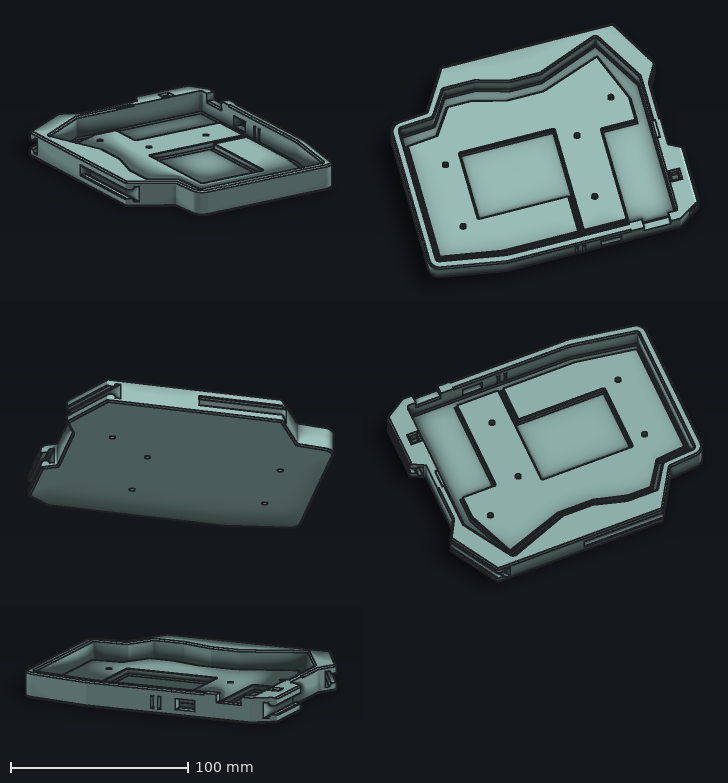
import cadquery as cq
import math

LENGTH = 157.2
WIDTH = 123.4
HEIGHT = 15.0
FLOOR = 1.5
PLATEAU_TOP = 5.5

EDGE = 1.0
RIM_MARGIN = 0.002
CORNER = 1.0
PLATEAU_BREAK = 0.3
CAVITY_CORNER = 1.5
CAVITY_BEND = 25.2
RIGHT_CORNER = 6.6
CLEARANCE = 1.5

PAD_BOTTOM = 82.7
PAD_TOP = 115.2
PAD_INNER_Y = 78.5
NOTCH_X = 8.2
PLAIN_Y = 62.2
PAD_BEVEL_WIDTH = 2.5
PAD_BEVEL_DROP = 1.1
PAD_BEVEL = [(0, PAD_BEVEL_DROP), (1.1, 0.3), (PAD_BEVEL_WIDTH, 0)]

LEDGE_START = 18.7
LEDGE_END = 34.1
LEDGE_Z = 10.2
TAB_END = 41.8

LEFT_TIP = (2.0, 29.2)
FRONT_TIP = (18.9, 0)
OUTER = [
    (0, PAD_TOP), (12.9, WIDTH), (114.6, WIDTH), (LENGTH, 116.2), (LENGTH, 25.8), (134.7, 23.9),
    (120.1, 0), FRONT_TIP, LEFT_TIP, (NOTCH_X, 40.1), (NOTCH_X, PAD_INNER_Y), (0, PAD_BOTTOM),
]

CAVITY_LEFT = 13.0
CAVITY_TOP = 118.2
BEND_X = 113.2
CAVITY = [
    (CAVITY_LEFT, CAVITY_TOP), (BEND_X, CAVITY_TOP), (152.0, 111.8), (152.0, 30.0), (131.7, 28.6),
    (122.0, 13.5), (103.6, 13.5), (84.5, 18.9), (66.3, 18.9), (30.7, 5.2), (CAVITY_LEFT, 34.9),
]

POCKET_LEFT = 67.7
POCKET_RIGHT = 121.5
POCKET_BOTTOM = 50.3
POCKET_TOP = 89.5
CHANNEL_RIGHT = 68.7
PLATEAU_Y = 113.6
PLATEAU = [
    (40.4, PLATEAU_Y), (POCKET_LEFT, PLATEAU_Y), (POCKET_LEFT, POCKET_BOTTOM),
    (POCKET_RIGHT, POCKET_BOTTOM), (POCKET_RIGHT, POCKET_TOP), (CHANNEL_RIGHT, POCKET_TOP),
    (CHANNEL_RIGHT, PLATEAU_Y), (114.0, PLATEAU_Y), (150.5, 107.7), (150.5, 36.8), (132.2, 35.0),
    (122.0, 19.8), (107.4, 19.8), (88.3, 24.8), (66.8, 24.8), (31.6, 12.3), (20.0, 42.0),
    (20.0, 57.2), (40.4, 57.2),
]

HOLE_DIAMETER = 3.1
HOLES = [(55.3, 94.5), (55.3, 56.6), (131.7, 92.5), (131.7, 54.0), (31.0, 39.3)]

SLOT_DEPTH = 6.6
NECK_DEPTH = 3.1
HEAD_START = 4.4
NECK_HALF = 2.7
HEAD_HALF = 4.5
LIP_BREAK = 0.5
SLOT_Z = HEIGHT / 2
FRONT_SLOT_START = 72.0
OVERRUN = 18.9
PAD_OVERRUN = 3.1

SOCKET_X = 9.1
SOCKET_Y = 97.5
SOCKET_SIDE = 4.5
SOCKET_DEPTH = 5.5
SOCKET_BEVEL = 1.1

WINDOW = (47.5, 59.3)
WINDOW_Z = (3.8, 10.0)
VENTS = [(68.5, 70.1), (73.0, 74.5)]
VENT_Z = (3.0, 10.2)

RELIEF_X = 11.3
RELIEF_TOP = 73.0
RELIEF_DEPTH = 0.8


def box(x0, x1, y0, y1, z0, z1):
    return cq.Workplane("XY").box(x1 - x0, y1 - y0, z1 - z0, centered=False).translate((x0, y0, z0))


def slab(points, z, height):
    return cq.Workplane("XY").workplane(offset=z).polyline(points).close().extrude(height)


def outer_block():
    """Full-height outline with rounded vertical edges."""
    block = slab(OUTER, 0, HEIGHT)
    right = cq.selectors.BoxSelector((LENGTH - 1.5, 0, 0), (LENGTH + 1.5, WIDTH, HEIGHT))
    block = block.edges("|Z").edges(right).fillet(RIGHT_CORNER)
    others = cq.selectors.BoxSelector((-1.5, -1.5, 0), (141.5, WIDTH + 1.5, HEIGHT))
    return block.edges("|Z").edges(others).fillet(CORNER)


def plain_rim_areas():
    """Regions around the pad and the tab where the rim keeps sharp edges."""
    low, high = FLOOR + EDGE, HEIGHT + EDGE
    back = WIDTH + CLEARANCE
    pad = box(-CLEARANCE, LEDGE_START, PLAIN_Y, back, low, high)
    tab = box(LEDGE_START, TAB_END, CAVITY_TOP - CLEARANCE, back, low, high)
    return pad.union(tab)


def round_cavity(prism, corner):
    """Round the vertical edges of a prism that follows the cavity outline."""
    bend = cq.selectors.BoxSelector(
        (BEND_X - 1.5, CAVITY_TOP - 1.5, 0), (BEND_X + 1.5, CAVITY_TOP + 1.5, 2 * HEIGHT)
    )
    prism = prism.edges("|Z").edges(bend).fillet(CAVITY_BEND)
    near_bend = cq.selectors.BoxSelector(
        (BEND_X - 4.7, CAVITY_TOP - 3.1, 0), (BEND_X + 4.7, CAVITY_TOP + 3.1, 2 * HEIGHT)
    )
    vertical = cq.selectors.ParallelDirSelector(cq.Vector(0, 0, 1))
    return prism.edges(cq.selectors.SubtractSelector(vertical, near_bend)).fillet(corner)


def cavity():
    """Main cavity; its bevelled bottom leaves a sloped foot along the walls."""
    cutter = round_cavity(slab(CAVITY, FLOOR, HEIGHT), CAVITY_CORNER)
    return cutter.faces("<Z").edges().chamfer(EDGE)


def rim_bevel():
    """Cutter that bevels the inner edge of the rim."""
    rim = cq.Workplane("XY").workplane(offset=HEIGHT - EDGE).polyline(CAVITY).close()
    rim = rim.offset2D(EDGE, "intersection").extrude(2 * EDGE)
    rim = round_cavity(rim, CAVITY_CORNER + EDGE)
    return rim.faces("<Z").edges().chamfer(EDGE - RIM_MARGIN)


def plateau():
    """Raised plateau with a sloped foot and a broken top edge."""
    foot = slab(PLATEAU, FLOOR - EDGE / 2, 1.5 * EDGE).faces(">Z").edges().chamfer(EDGE)
    body = cq.Workplane("XY").workplane(offset=FLOOR).polyline(PLATEAU).close()
    body = body.offset2D(-EDGE, "intersection").extrude(PLATEAU_TOP - FLOOR)
    body = body.edges("|Z").fillet(CORNER)
    return foot.union(body.faces(">Z").edges().chamfer(PLATEAU_BREAK))


def pad_bevel():
    """Two-step bevel along the left edge of the pad."""
    above = HEIGHT + CLEARANCE
    profile = [(x, HEIGHT - drop) for x, drop in PAD_BEVEL]
    profile += [(PAD_BEVEL_WIDTH, above), (-CLEARANCE, above), (-CLEARANCE, HEIGHT - PAD_BEVEL_DROP)]
    plane = cq.Workplane("XZ", origin=(0, PAD_INNER_Y, 0))
    return plane.polyline(profile).close().extrude(PAD_INNER_Y - WIDTH)


def t_slot(start, along, length):
    """T-slot cutter that opens on a side face and lies to the left of its travel direction."""
    size = math.hypot(*along)
    plane = cq.Plane(
        origin=(start[0], start[1], SLOT_Z),
        xDir=(-along[1] / size, along[0] / size, 0),
        normal=(along[0], along[1], 0),
    )
    mouth_half = NECK_HALF + LIP_BREAK
    upper = [
        (-CLEARANCE, mouth_half), (0, mouth_half), (LIP_BREAK, NECK_HALF),
        (NECK_DEPTH, NECK_HALF), (HEAD_START, HEAD_HALF), (SLOT_DEPTH, HEAD_HALF),
    ]
    lower = [(depth, -half) for depth, half in reversed(upper)]
    return cq.Workplane(plane).polyline(upper + lower).close().extrude(length)


def lower_left_slot():
    """T-slot along the slanted lower left side, open at both ends."""
    side = (FRONT_TIP[0] - LEFT_TIP[0], FRONT_TIP[1] - LEFT_TIP[1])
    side_length = math.hypot(*side)
    reach = OVERRUN / side_length
    start = (LEFT_TIP[0] - side[0] * reach, LEFT_TIP[1] - side[1] * reach)
    return t_slot(start, side, side_length + 2 * OVERRUN)


def wall_opening(x_range, z_range):
    return box(*x_range, CAVITY_TOP - CLEARANCE, WIDTH + CLEARANCE, *z_range)


plain_block = outer_block()
part = plain_block.faces("<Z or >Z").edges().chamfer(EDGE)
part = part.union(plain_block.intersect(plain_rim_areas()))
part = part.cut(cavity())
part = part.cut(rim_bevel().cut(plain_rim_areas()))

ledge_front = CAVITY_TOP - CLEARANCE
ledge = box(LEDGE_START, LEDGE_END, ledge_front, WIDTH + CLEARANCE, LEDGE_Z, HEIGHT + CLEARANCE)
ledge_edge = box(LEDGE_START, LEDGE_END, ledge_front, WIDTH, LEDGE_Z - EDGE, LEDGE_Z + EDGE)
ledge_bevel = rim_bevel().translate((0, 0, LEDGE_Z - HEIGHT)).intersect(ledge_edge)
part = part.cut(ledge).cut(ledge_bevel)

part = part.cut(pad_bevel())
relief_right = CAVITY_LEFT + 0.2
part = part.cut(
    box(RELIEF_X, relief_right, PLAIN_Y, RELIEF_TOP, HEIGHT - RELIEF_DEPTH, HEIGHT + CLEARANCE)
)

part = part.union(plateau())

pad_slot_start = WIDTH + CLEARANCE
part = part.cut(t_slot((0, pad_slot_start), (0, -1), pad_slot_start - PAD_INNER_Y + PAD_OVERRUN))
part = part.cut(lower_left_slot())
part = part.cut(t_slot((FRONT_SLOT_START, 0), (1, 0), LENGTH - FRONT_SLOT_START))

mouth = cq.Workplane("XY").workplane(offset=HEIGHT).center(SOCKET_X, SOCKET_Y)
mouth_side = SOCKET_SIDE + 2 * SOCKET_BEVEL
part = part.cut(mouth.rect(SOCKET_SIDE, SOCKET_SIDE).extrude(-SOCKET_DEPTH))
part = part.cut(mouth.rect(mouth_side, mouth_side).extrude(-SOCKET_BEVEL, taper=45))

part = part.cut(wall_opening(WINDOW, WINDOW_Z))
for vent in VENTS:
    part = part.cut(wall_opening(vent, VENT_Z))

part = part.cut(cq.Workplane("XY").pushPoints(HOLES).circle(HOLE_DIAMETER / 2).extrude(HEIGHT))

result = part